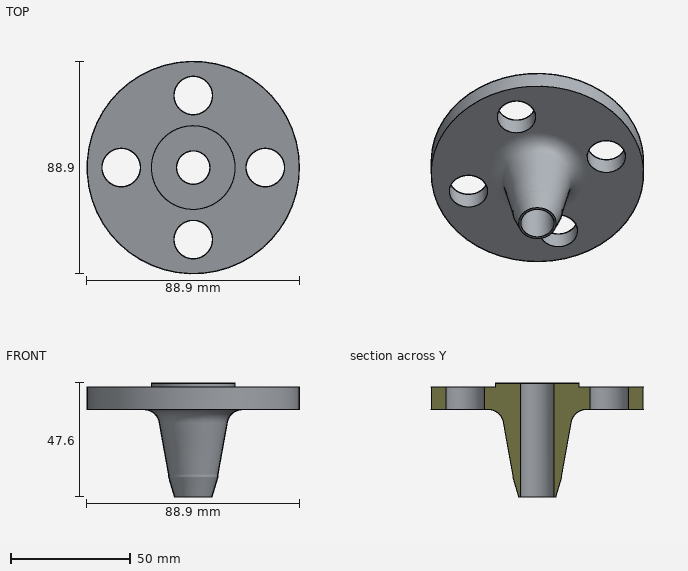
import cadquery as cq
import math

flange_diameter = 88.9
total_height = 47.65

raised_face_diameter = 35.0
raised_face_height = 1.6
flange_thickness = 9.5
bore_diameter = 13.9

bolt_hole_count = 4
bolt_hole_diameter = 16.0
bolt_circle_diameter = 60.3

weld_end_diameter = 15.65
bevel_height = 8.4
neck_end_diameter = 20.6
neck_land_height = 0.9
neck_fillet_radius = 6.4
neck_taper_angle = 10.2

flange_top = total_height - raised_face_height
flange_bottom = flange_top - flange_thickness
land_top = bevel_height + neck_land_height

taper_angle = math.radians(neck_taper_angle)
fillet_center_height = flange_bottom - neck_fillet_radius
taper_top = fillet_center_height + neck_fillet_radius * math.sin(taper_angle)
taper_top_radius = neck_end_diameter / 2 + (taper_top - land_top) * math.tan(taper_angle)
fillet_center_radius = taper_top_radius + neck_fillet_radius * math.cos(taper_angle)
fillet_middle_angle = (math.pi / 2 + taper_angle) / 2
fillet_middle = (
    fillet_center_radius - neck_fillet_radius * math.cos(fillet_middle_angle),
    fillet_center_height + neck_fillet_radius * math.sin(fillet_middle_angle),
)


def revolved_body():
    """Flange, raised face, neck and through bore as one turned section."""
    section = (
        cq.Workplane("XZ")
        .moveTo(bore_diameter / 2, 0)
        .lineTo(weld_end_diameter / 2, 0)
        .lineTo(neck_end_diameter / 2, bevel_height)
        .lineTo(neck_end_diameter / 2, land_top)
        .lineTo(taper_top_radius, taper_top)
        .threePointArc(fillet_middle, (fillet_center_radius, flange_bottom))
        .lineTo(flange_diameter / 2, flange_bottom)
        .lineTo(flange_diameter / 2, flange_top)
        .lineTo(raised_face_diameter / 2, flange_top)
        .lineTo(raised_face_diameter / 2, total_height)
        .lineTo(bore_diameter / 2, total_height)
        .close()
    )
    return section.revolve(360, (0, 0, 0), (0, 1, 0))


def bolt_holes():
    """Cylinders that cut the bolt holes through the flange plate."""
    return (
        cq.Workplane("XY", origin=(0, 0, flange_bottom))
        .polarArray(bolt_circle_diameter / 2, 0, 360, bolt_hole_count)
        .circle(bolt_hole_diameter / 2)
        .extrude(flange_thickness)
    )


result = revolved_body().cut(bolt_holes())